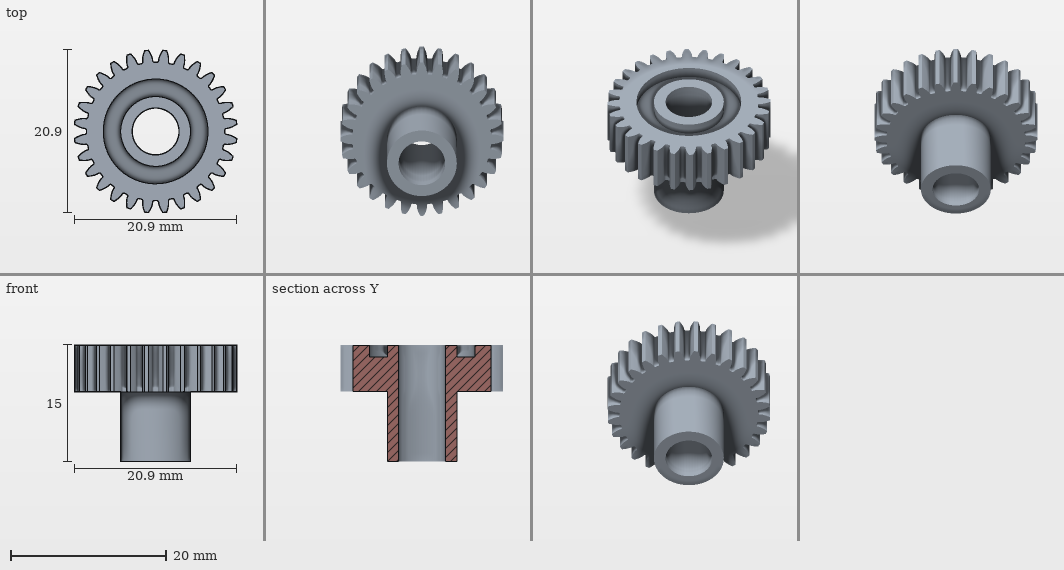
import cadquery as cq
import math

tooth_count = 28
module = 0.7
pressure_angle = math.radians(20)
addendum = 1.0 * module
dedendum = 1.25 * module
root_fillet = 0.3 * module
flank_steps = 6

total_height = 15.0
gear_width = 6.0
hub_diameter = 9.0
bore_diameter = 6.0
recess_diameter = 13.5
recess_depth = 1.5

pitch_radius = module * tooth_count / 2
tip_radius = pitch_radius + addendum
root_radius = pitch_radius - dedendum
base_radius = pitch_radius * math.cos(pressure_angle)
tooth_pitch = 2 * math.pi / tooth_count


def involute(angle):
    return math.tan(angle) - angle


base_half_angle = tooth_pitch / 4 + involute(pressure_angle)

fillet_center_radius = root_radius + root_fillet
fillet_angle = math.asin(root_fillet / fillet_center_radius)
foot_radius = fillet_center_radius * math.cos(fillet_angle)
root_half_angle = base_half_angle + fillet_angle


def polar(radius, angle):
    return (radius * math.cos(angle), radius * math.sin(angle))


def half_angle(radius):
    """Half the angle a tooth spans at a radius on or outside the base circle."""
    return base_half_angle - involute(math.acos(base_radius / radius))


def flank_points(center, side):
    """Involute points from base to tip, on the side (-1 or +1) of a tooth."""
    points = []
    for step in range(flank_steps + 1):
        radius = base_radius + (tip_radius - base_radius) * (step / flank_steps) ** 2
        points.append(polar(radius, center + side * half_angle(radius)))
    return points


def fillet_middle(center, side):
    """Midpoint of the root fillet arc on the side (-1 or +1) of a tooth."""
    center_angle = center + side * root_half_angle
    fillet_x, fillet_y = polar(fillet_center_radius, center_angle)
    half_sweep = (math.pi / 2 - fillet_angle) / 2
    offset_x, offset_y = polar(root_fillet, center_angle + math.pi + side * half_sweep)
    return (fillet_x + offset_x, fillet_y + offset_y)


def add_tooth(outline, center):
    """Continue the outline counterclockwise over one tooth and the gap after it."""
    rising = flank_points(center, -1)
    falling = flank_points(center, 1)[::-1]
    gap_middle = center + tooth_pitch / 2
    next_tooth_start = center + tooth_pitch - root_half_angle
    return (
        outline
        .threePointArc(fillet_middle(center, -1), polar(foot_radius, center - base_half_angle))
        .lineTo(*rising[0])
        .spline(rising[1:], includeCurrent=True)
        .threePointArc(polar(tip_radius, center), falling[0])
        .spline(falling[1:], includeCurrent=True)
        .lineTo(*polar(foot_radius, center + base_half_angle))
        .threePointArc(fillet_middle(center, 1), polar(root_radius, center + root_half_angle))
        .threePointArc(polar(root_radius, gap_middle), polar(root_radius, next_tooth_start))
    )


def make_gear():
    """Toothed disc at the top of the part, with a tooth gap centered on +X."""
    first_center = tooth_pitch / 2
    outline = cq.Workplane("XY").workplane(offset=total_height - gear_width)
    outline = outline.moveTo(*polar(root_radius, first_center - root_half_angle))
    for tooth in range(tooth_count):
        outline = add_tooth(outline, first_center + tooth * tooth_pitch)
    return outline.close().extrude(gear_width)


def make_full_height_cylinder(diameter):
    return cq.Workplane("XY").circle(diameter / 2).extrude(total_height)


def make_recess():
    """Ring pocket in the top face, leaving the hub flush with the gear."""
    return (
        cq.Workplane("XY")
        .workplane(offset=total_height - recess_depth)
        .circle(recess_diameter / 2)
        .circle(hub_diameter / 2)
        .extrude(recess_depth)
    )


hub = make_full_height_cylinder(hub_diameter)
bore = make_full_height_cylinder(bore_diameter)

result = make_gear().union(hub).cut(make_recess()).cut(bore)